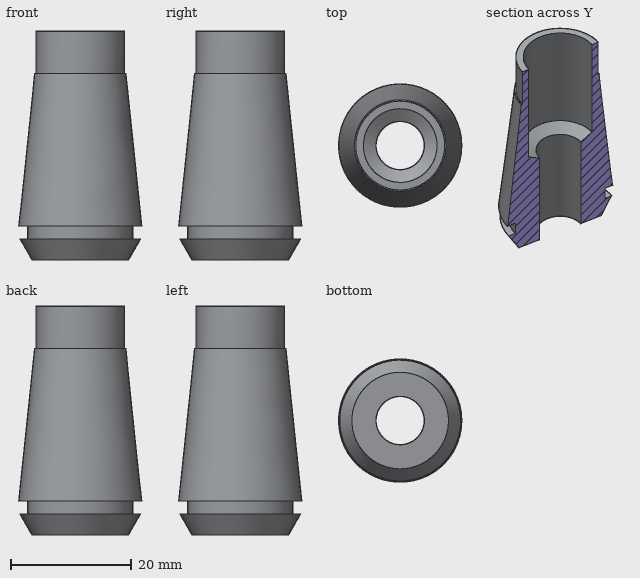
import cadquery as cq

total_height = 38.0
collar_length = 7.03
shoulder_height = total_height - collar_length
head_height = 3.5
groove_width = 2.13
taper_base_height = head_height + groove_width

collar_radius = 7.37
taper_top_radius = 7.6
taper_base_radius = 10.24
groove_radius = 8.75
head_top_radius = 10.05
head_bottom_radius = 8.0

bore_radius = 6.1
hole_radius = 4.0
bore_depth = 19.0
funnel_length = 1.2
bore_floor_height = total_height - bore_depth
hole_top_height = bore_floor_height - funnel_length

half_section = [
    (hole_radius, 0),
    (head_bottom_radius, 0),
    (head_top_radius, head_height),
    (groove_radius, head_height),
    (groove_radius, taper_base_height),
    (taper_base_radius, taper_base_height),
    (taper_top_radius, shoulder_height),
    (collar_radius, shoulder_height),
    (collar_radius, total_height),
    (bore_radius, total_height),
    (bore_radius, bore_floor_height),
    (hole_radius, hole_top_height),
]

result = cq.Workplane("XZ").polyline(half_section).close().revolve(360, (0, 0), (0, 1))